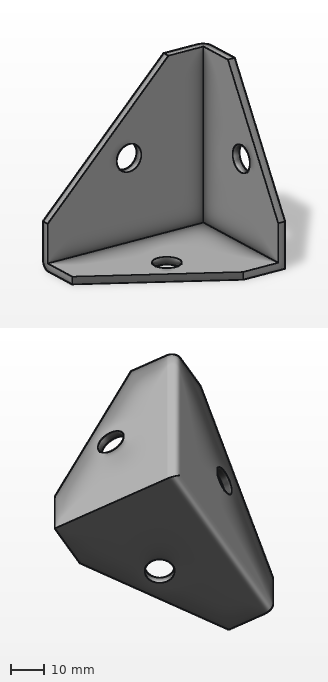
import cadquery as cq

depth = 42.0
leg = 60.0
wall = 2.6
bend_radius = 3.0
end_width = 15.5
hole_diameter = 9.0
hole_from_back = 22.5
hole_from_corner = leg / 2


def plate(plane, width, height, hole_x, hole_y):
    """Wall with one sloped corner and a hole, lying in the given plane."""
    outline = [
        (0, 0),
        (width, 0),
        (width, end_width),
        (end_width, height),
        (0, height),
    ]
    blank = cq.Workplane(plane).polyline(outline).close().extrude(wall)
    hole = cq.Workplane(plane).center(hole_x, hole_y).circle(hole_diameter / 2).extrude(wall)
    return blank.cut(hole)


back_plane = cq.Plane(origin=(wall, 0, 0), xDir=(0, -1, 0), normal=(-1, 0, 0))
side_plane = cq.Plane(origin=(0, 0, 0), xDir=(1, 0, 0), normal=(0, -1, 0))
floor_plane = cq.Plane(origin=(0, 0, wall), xDir=(1, 0, 0), normal=(0, 0, -1))

back_wall = plate(back_plane, leg, leg, hole_from_corner, hole_from_corner)
side_wall = plate(side_plane, depth, leg, hole_from_back, hole_from_corner)
floor = plate(floor_plane, depth, leg, hole_from_back, hole_from_corner)

bracket = back_wall.union(side_wall).union(floor)

side_bend = cq.selectors.NearestToPointSelector((0, 0, leg / 2))
floor_bend = cq.selectors.NearestToPointSelector((0, -leg / 2, 0))
result = bracket.edges(side_bend + floor_bend).fillet(bend_radius)